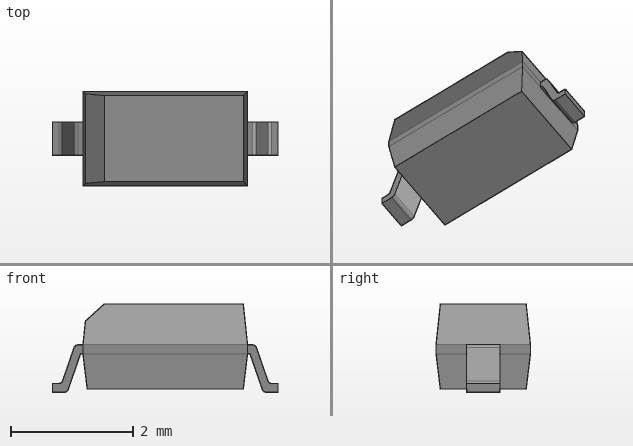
import cadquery as cq

overall_length = 3.7
overall_height = 1.45

housing_length = 2.7
housing_width = 1.55
housing_bottom = 0.05
belt_bottom = 0.633
lead_thickness = 0.148
belt_top = belt_bottom + lead_thickness
taper_inset = 0.07
bevel_top_x = -1.0
bevel_low_x = -1.31
bevel_low_z = 1.17

lead_width = 0.548
shoulder_corner = 1.48
leg_run = 0.22
leg_span_x = 0.145
outer_bend_radius = 0.07
foot_bend_radius = 0.06


def tapered_block(belt_z, end_z):
    """Block that narrows from the belt to a smaller end face."""
    return (
        cq.Workplane("XY")
        .workplane(offset=belt_z)
        .rect(housing_length, housing_width)
        .workplane(offset=end_z - belt_z)
        .rect(housing_length - 2 * taper_inset, housing_width - 2 * taper_inset)
        .loft(ruled=True)
    )


def end_bevel():
    """Wedge that removes the upper edge at the -X end."""
    slope = (overall_height - bevel_low_z) / (bevel_top_x - bevel_low_x)
    outer_x = -housing_length / 2
    outer_z = bevel_low_z - slope * (bevel_low_x - outer_x)
    return (
        cq.Workplane("XZ")
        .polyline([(bevel_top_x, overall_height), (outer_x, outer_z), (outer_x, overall_height)])
        .close()
        .extrude(housing_width / 2, both=True)
    )


def make_housing():
    belt = (
        cq.Workplane("XY")
        .workplane(offset=belt_bottom)
        .rect(housing_length, housing_width)
        .extrude(lead_thickness)
    )
    upper = tapered_block(belt_top, overall_height).cut(end_bevel())
    lower = tapered_block(belt_bottom, housing_bottom)
    return belt.union(upper).union(lower)


def make_lead(side):
    """Bent strip that touches the belt; side is -1 or +1 along X."""
    body_x = housing_length / 2
    tip_x = overall_length / 2
    foot_corner = shoulder_corner + leg_run
    slope = leg_run / (belt_top - lead_thickness)
    leg_inner_top = shoulder_corner + slope * lead_thickness - leg_span_x
    leg_inner_bottom = shoulder_corner + slope * belt_top - leg_span_x
    outline = [
        (body_x, belt_top),
        (shoulder_corner, belt_top),
        (foot_corner, lead_thickness),
        (tip_x, lead_thickness),
        (tip_x, 0),
        (leg_inner_bottom, 0),
        (leg_inner_top, belt_bottom),
        (body_x, belt_bottom),
    ]
    strip = (
        cq.Workplane("XZ")
        .polyline([(side * x, z) for x, z in outline])
        .close()
        .extrude(lead_width / 2, both=True)
    )
    bends = [
        (shoulder_corner, belt_top, outer_bend_radius),
        (foot_corner, lead_thickness, foot_bend_radius),
        (leg_inner_bottom, 0, outer_bend_radius),
    ]
    for x, z, radius in bends:
        bend_edge = cq.selectors.NearestToPointSelector((side * x, 0, z))
        strip = strip.edges("|Y").edges(bend_edge).fillet(radius)
    return strip


housing = make_housing()
leads = [make_lead(side) for side in (-1, 1)]

result = cq.Compound.makeCompound([housing.val(), *[lead.val() for lead in leads]])